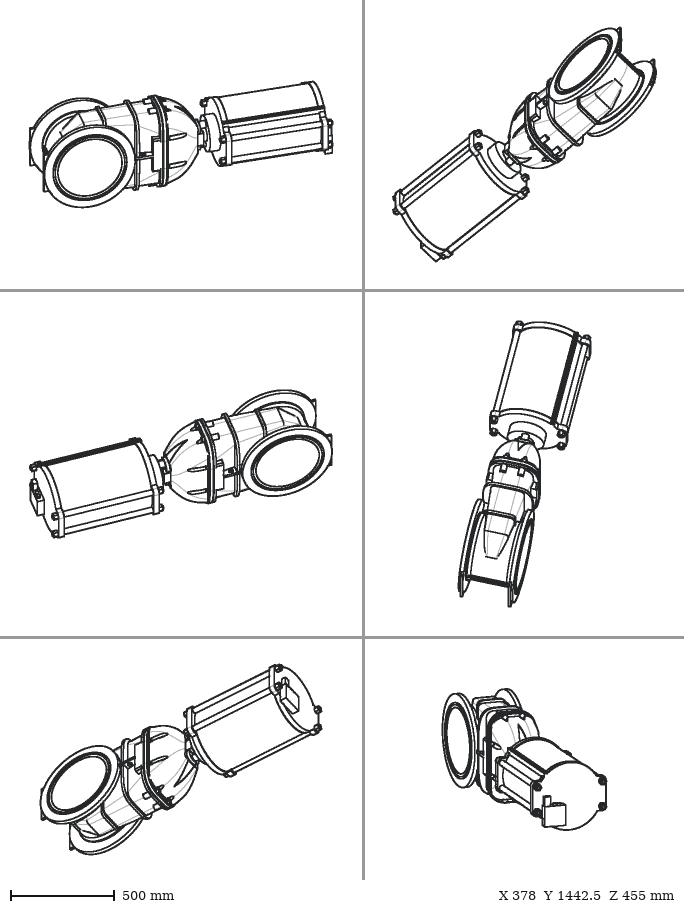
import cadquery as cq


FLANGE_RADIUS = 227.5
FLANGE_INNER_X = 113.0
FLANGE_OUTER_X = 134.0
RAISED_FACE_RADIUS = 185.0
RAISED_FACE_X = 138.0
FACE_STEP_RADIUS = 175.0
BORE_RADIUS = 161.0
FACE_STEP_DEPTH = 1.5
PIPE_RADIUS = 160.0
PIPE_COLLAR_RADIUS = 168.0
PIPE_COLLAR_START_X = 106.0
PIPE_TAPER_START_X = 89.0
FOOT_HALF_WIDTH = 105.0
FOOT_INNER_X = 114.0
FOOT_OUTER_X = 125.0

BODY_HALF_HEIGHT = 203.0
BODY_TOP_FLAT = 41.0
BODY_THROAT_Y = -7.0
BODY_TOE_Y = -104.0
BODY_TOE_HALF_HEIGHT = 122.0
BODY_TOE_HALF_X = 34.0
BODY_TOE_FLATS = (22.0, 112.0)
BODY_SHOULDER = (100.0, 110.0)
BODY_WAIST = (83.0, 172.0)
BODY_THROAT = (59.0, 187.0)
CENTRE_RIB_THICKNESS = 13.0
CENTRE_RIB_HALF_X = 125.0
UPPER_EYE = (104.0, 277.0)
LOWER_EYE = (95.0, 189.0)
EYE_DIAMETER = 22.0
BAND_THICKNESS = 13.0
BAND_HALF_HEIGHT = 216.0
UPPER_BAND_Y = 239.0
UPPER_BAND_HALF_X = 123.0
UPPER_BAND_SIDE_FLAT = 85.0
LOWER_BAND_Y = 86.0
LOWER_BAND_HALF_X = 73.0
LOWER_BAND_SIDE_FLAT = 180.0

JOINT_BOTTOM_Y = 358.0
JOINT_SPLIT_Y = 373.0
JOINT_TOP_Y = 390.0
JOINT_HALF_X = 125.0
JOINT_HALF_HEIGHT = 223.0
JOINT_FLATS = (30.0, 78.0)
JOINT_GROOVE = 3.0
JOINT_RIM_TOP_Y = 397.0
JOINT_RIM_INSET = 4.0
BOLT_BOSS_RADIUS = 14.0
BOLT_BOSS_BOTTOM_Y = 321.0
BOLT_BOSS_TOP_Y = 406.0
END_BOLT_X = 44.0
END_BOLT_Z = 206.0
SIDE_PAD_HALF_HEIGHT = 93.0
SIDE_PAD_INNER_X = 90.0
SIDE_PAD_CHAMFER = 8.0
SIDE_BOLT_X = 110.0
SIDE_BOLT_Z = 81.0
SIDE_BOLT_RADIUS = 9.0
BOLT_CLEARANCE_RADIUS = 11.0

DOME_TOP_FLAT = 43.0
DOME_SIZES = [
    (JOINT_TOP_Y, 113.0, 207.0, 145.0),
    (440.0, 111.0, 192.0, 124.0),
    (492.0, 100.0, 165.0, 85.0),
    (530.0, 78.0, 128.0, 45.0),
    (565.0, 50.0, 78.0, 20.0),
]
DOME_TOP_Y = DOME_SIZES[-1][0]
GUSSET_TIP_Y = 465.0
GUSSET_HALF_X = 25.0
GUSSET_RISE = 3.0

STEM_RADIUS = 38.0
HUB_HALF_X = 47.0
HUB_HALF_Z = 34.0
HUB_TOP_Y = 597.0
YOKE_PLATE_TOP_Y = 582.0
YOKE_PLATE_HALF_X = 40.0
YOKE_PLATE_HALF_Z = 76.0
YOKE_PLATE_CORNER = 30.0
POST_RADIUS = 18.0
POST_Z = 54.0

COLLAR_RADIUS = 90.0
COLLAR_BOTTOM_Y = 616.0
CAP_BOTTOM_Y = 668.5
CAP_TOP_Y = 1180.0
CAP_THICKNESS = 28.0
CAP_RADIUS = 168.0
CAP_LUG_HALF_X = 189.0
CAP_LUG_HALF_Z = 86.0
CAP_LUG_CORNER = 22.0
BARREL_RADIUS = 163.5
TIE_ROD_X = 167.0
TIE_ROD_Z = 62.5
TIE_ROD_RADIUS = 14.0
ROD_END_RADIUS = 8.0
NUT_WIDTH_ACROSS_CORNERS = 34.0
NUT_HEIGHT = 21.0
NUT_SIDES = 6
ROD_END_HEIGHT = 26.0
RAIL_X = (110.0, 129.0)
RAIL_TOP_Z = 128.0
RAIL_BOTTOM_Z = 90.0
RAIL_GROOVES = 4
RAIL_GROOVE_WIDTH = 2.0
RAIL_GROOVE_DEPTH = 5.0

CONTROL_X = (32.0, 138.0)
CONTROL_TOP_Y = 1215.0
CONTROL_BASE_Z = (-133.0, -32.0)
CONTROL_HEAD_Y = (1189.0, 1211.0)
CONTROL_HEAD_TOP_Z = 15.0
CONTROL_HEAD_X = (107.0, 137.0)
CONTROL_PORTS_X = (61.0, 82.0)
CONTROL_PORT_RADIUS = 9.0


def box(x_range, y_range, z_range):
    """Box between the given limits."""
    size = [high - low for low, high in (x_range, y_range, z_range)]
    corner = (x_range[0], y_range[0], z_range[0])
    return cq.Workplane("XY").box(*size, centered=False).translate(corner)


def rod_x(radius, x_start, x_end):
    """Cylinder along X about the pipe axis."""
    return cq.Workplane("YZ").workplane(offset=x_start).circle(radius).extrude(x_end - x_start)


def plane_y(y):
    """Work plane facing +Y whose local axes are X and -Z."""
    return cq.Workplane(cq.Plane(origin=(0, y, 0), xDir=(1, 0, 0), normal=(0, 1, 0)))


def rod_y(radius, y_start, y_end, x=0.0, z=0.0):
    """Cylinder along Y centred on the given x and z."""
    return plane_y(y_start).center(x, -z).circle(radius).extrude(y_end - y_start)


def rounded_plate(half_x, half_z, corner, y_start, y_end):
    """Flat plate across Y with a rounded rectangular outline."""
    plate = plane_y(y_start).rect(2 * half_x, 2 * half_z).extrude(y_end - y_start)
    return plate.edges("|Y").fillet(corner)


def section(y, half_x, half_z, flat_x, flat_z):
    """Outline across Y: four flats of the given half lengths joined by oval corners."""
    along_x, along_z = (1, 0), (0, 1)
    back_x, back_z = (-1, 0), (0, -1)
    outline = plane_y(y).moveTo(half_x, -flat_z).lineTo(half_x, flat_z)
    outline = outline.spline([(flat_x, half_z)], [along_z, back_x], includeCurrent=True)
    outline = outline.lineTo(-flat_x, half_z)
    outline = outline.spline([(-half_x, flat_z)], [back_x, back_z], includeCurrent=True)
    outline = outline.lineTo(-half_x, -flat_z)
    outline = outline.spline([(-flat_x, -half_z)], [back_z, along_x], includeCurrent=True)
    outline = outline.lineTo(flat_x, -half_z)
    outline = outline.spline([(half_x, -flat_z)], [along_x, along_z], includeCurrent=True)
    return outline.wire()


def oval_corner_plate(half_x, half_z, flat_x, flat_z, y_start, y_end):
    """Flat plate across Y with oval corners."""
    return section(y_start, half_x, half_z, flat_x, flat_z).extrude(y_end - y_start)


def loft_sections(sections, ruled):
    """Solid through oval-cornered sections stacked along Y."""
    wires = [section(*sizes).val() for sizes in sections]
    return cq.Workplane(cq.Solid.makeLoft(wires, ruled))


def mirror_x(solid):
    """The solid together with its mirror image across X = 0."""
    return solid.union(solid.mirror("YZ"))


def four_places(x, z):
    """The point (x, z) and its mirror images in X and Z."""
    return [(side * x, end * z) for side in (-1, 1) for end in (-1, 1)]


def make_pipe():
    outline = [
        (0, 0),
        (RAISED_FACE_X, 0),
        (RAISED_FACE_X, RAISED_FACE_RADIUS),
        (FLANGE_OUTER_X, RAISED_FACE_RADIUS),
        (FLANGE_OUTER_X, FLANGE_RADIUS),
        (FLANGE_INNER_X, FLANGE_RADIUS),
        (FLANGE_INNER_X, PIPE_COLLAR_RADIUS),
        (PIPE_COLLAR_START_X, PIPE_COLLAR_RADIUS),
        (PIPE_TAPER_START_X, PIPE_RADIUS),
        (0, PIPE_RADIUS),
    ]
    half = cq.Workplane("XY").polyline(outline).close().revolve(360, (0, 0, 0), (1, 0, 0))
    for depth, radius in ((FACE_STEP_DEPTH, FACE_STEP_RADIUS), (2 * FACE_STEP_DEPTH, BORE_RADIUS)):
        half = half.cut(rod_x(radius, RAISED_FACE_X - depth, RAISED_FACE_X))
    foot = box(
        (FOOT_INNER_X, FOOT_OUTER_X), (-FLANGE_RADIUS, 0), (-FOOT_HALF_WIDTH, FOOT_HALF_WIDTH)
    )
    bottom_rib = box(
        (0, FLANGE_INNER_X),
        (-PIPE_COLLAR_RADIUS, 0),
        (-CENTRE_RIB_THICKNESS / 2, CENTRE_RIB_THICKNESS / 2),
    )
    return mirror_x(half.union(foot).union(bottom_rib))


def make_body():
    levels = (
        (JOINT_BOTTOM_Y, BODY_SHOULDER), (UPPER_BAND_Y, BODY_WAIST), (BODY_THROAT_Y, BODY_THROAT)
    )
    sections = [
        (y, half_x, BODY_HALF_HEIGHT, BODY_TOP_FLAT, side_flat) for y, (half_x, side_flat) in levels
    ]
    sections.append((BODY_TOE_Y, BODY_TOE_HALF_X, BODY_TOE_HALF_HEIGHT, *BODY_TOE_FLATS))
    body = loft_sections(sections, True)
    bands = (
        (UPPER_BAND_Y, UPPER_BAND_HALF_X, UPPER_BAND_SIDE_FLAT),
        (LOWER_BAND_Y, LOWER_BAND_HALF_X, LOWER_BAND_SIDE_FLAT),
    )
    for y, half_x, side_flat in bands:
        band = oval_corner_plate(
            half_x, BAND_HALF_HEIGHT, BODY_TOP_FLAT, side_flat, y, y + BAND_THICKNESS
        )
        body = body.union(band)
    rib = box(
        (-CENTRE_RIB_HALF_X, CENTRE_RIB_HALF_X),
        (0, JOINT_BOTTOM_Y),
        (-CENTRE_RIB_THICKNESS / 2, CENTRE_RIB_THICKNESS / 2),
    )
    eyes = [(side * x, y) for x, y in (UPPER_EYE, LOWER_EYE) for side in (-1, 1)]
    drill = cq.Workplane("XY").pushPoints(eyes).circle(EYE_DIAMETER / 2)
    rib = rib.cut(drill.extrude(CENTRE_RIB_THICKNESS, both=True))
    return body.union(rib)


def make_joint():
    layers = (
        (JOINT_GROOVE, JOINT_SPLIT_Y - JOINT_GROOVE, JOINT_SPLIT_Y),
        (0, JOINT_SPLIT_Y, JOINT_TOP_Y),
        (JOINT_RIM_INSET, JOINT_TOP_Y, JOINT_RIM_TOP_Y),
    )
    joint = oval_corner_plate(
        JOINT_HALF_X, JOINT_HALF_HEIGHT, *JOINT_FLATS, JOINT_BOTTOM_Y, JOINT_SPLIT_Y - JOINT_GROOVE
    )
    for inset, y_start, y_end in layers:
        half_x, half_z = JOINT_HALF_X - inset, JOINT_HALF_HEIGHT - inset
        joint = joint.union(oval_corner_plate(half_x, half_z, *JOINT_FLATS, y_start, y_end))
    for x, z in four_places(END_BOLT_X, END_BOLT_Z):
        joint = joint.union(rod_y(BOLT_BOSS_RADIUS, BOLT_BOSS_BOTTOM_Y, BOLT_BOSS_TOP_Y, x, z))
    for x, z in four_places(SIDE_BOLT_X, SIDE_BOLT_Z):
        joint = joint.union(rod_y(SIDE_BOLT_RADIUS, JOINT_TOP_Y, BOLT_BOSS_TOP_Y, x, z))
    pad = box(
        (SIDE_PAD_INNER_X, JOINT_HALF_X),
        (BOLT_BOSS_BOTTOM_Y, JOINT_BOTTOM_Y),
        (-SIDE_PAD_HALF_HEIGHT, SIDE_PAD_HALF_HEIGHT),
    )
    pad = pad.edges(">X and |Y").chamfer(SIDE_PAD_CHAMFER)
    return joint.union(mirror_x(pad))


def dome_solid(rise):
    """Rounded dome, raised along Z by the given amount."""
    sections = [
        (y, half_x, half_z + rise, DOME_TOP_FLAT, side_flat)
        for y, half_x, half_z, side_flat in DOME_SIZES
    ]
    return loft_sections(sections, False)


def make_dome():
    dome = dome_solid(0)
    bolts = four_places(END_BOLT_X, END_BOLT_Z) + four_places(SIDE_BOLT_X, SIDE_BOLT_Z)
    for x, z in bolts:
        dome = dome.cut(rod_y(BOLT_CLEARANCE_RADIUS, JOINT_TOP_Y, DOME_TOP_Y, x, z))
    wedge_outline = [(-GUSSET_HALF_X, DOME_TOP_Y), (GUSSET_HALF_X, DOME_TOP_Y), (0, GUSSET_TIP_Y)]
    wedge = cq.Workplane("XY").polyline(wedge_outline).close().extrude(JOINT_HALF_HEIGHT, both=True)
    return dome.union(wedge.intersect(dome_solid(GUSSET_RISE)))


def make_yoke():
    stem = rod_y(STEM_RADIUS, DOME_TOP_Y - STEM_RADIUS, COLLAR_BOTTOM_Y)
    hub = box(
        (-HUB_HALF_X, HUB_HALF_X), (DOME_TOP_Y - STEM_RADIUS, HUB_TOP_Y), (-HUB_HALF_Z, HUB_HALF_Z)
    )
    plate = rounded_plate(
        YOKE_PLATE_HALF_X, YOKE_PLATE_HALF_Z, YOKE_PLATE_CORNER, DOME_TOP_Y, YOKE_PLATE_TOP_Y
    )
    yoke = stem.union(hub).union(plate)
    for end in (-1, 1):
        yoke = yoke.union(rod_y(POST_RADIUS, DOME_TOP_Y, COLLAR_BOTTOM_Y, z=end * POST_Z))
    return yoke


def make_cap(y_start):
    y_end = y_start + CAP_THICKNESS
    lugs = rounded_plate(CAP_LUG_HALF_X, CAP_LUG_HALF_Z, CAP_LUG_CORNER, y_start, y_end)
    return lugs.union(rod_y(CAP_RADIUS, y_start, y_end))


def make_rail():
    rail = box(RAIL_X, (CAP_BOTTOM_Y, CAP_TOP_Y), (RAIL_BOTTOM_Z, RAIL_TOP_Z))
    pitch = (RAIL_X[1] - RAIL_X[0]) / (RAIL_GROOVES + 1)
    for index in range(RAIL_GROOVES):
        groove_x = RAIL_X[0] + (index + 1) * pitch
        groove = box(
            (groove_x - RAIL_GROOVE_WIDTH / 2, groove_x + RAIL_GROOVE_WIDTH / 2),
            (CAP_BOTTOM_Y, CAP_TOP_Y),
            (RAIL_TOP_Z - RAIL_GROOVE_DEPTH, RAIL_TOP_Z),
        )
        rail = rail.cut(groove)
    return rail


def make_cylinder():
    cylinder = rod_y(COLLAR_RADIUS, COLLAR_BOTTOM_Y, CAP_BOTTOM_Y)
    cylinder = cylinder.union(rod_y(BARREL_RADIUS, CAP_BOTTOM_Y, CAP_TOP_Y))
    cylinder = cylinder.union(make_rail())
    for y_start in (CAP_BOTTOM_Y, CAP_TOP_Y - CAP_THICKNESS):
        cylinder = cylinder.union(make_cap(y_start))
    rod_bottom_y = CAP_BOTTOM_Y - ROD_END_HEIGHT
    rod_top_y = CAP_TOP_Y + ROD_END_HEIGHT
    for x, z in four_places(TIE_ROD_X, TIE_ROD_Z):
        cylinder = cylinder.union(rod_y(TIE_ROD_RADIUS, CAP_BOTTOM_Y, CAP_TOP_Y, x, z))
        cylinder = cylinder.union(rod_y(ROD_END_RADIUS, rod_bottom_y, rod_top_y, x, z))
        for nut_y in (CAP_BOTTOM_Y - NUT_HEIGHT, CAP_TOP_Y):
            nut = plane_y(nut_y).center(x, -z).polygon(NUT_SIDES, NUT_WIDTH_ACROSS_CORNERS)
            cylinder = cylinder.union(nut.extrude(NUT_HEIGHT))
    return cylinder


def make_control_valve():
    base = box(CONTROL_X, (CAP_TOP_Y, CONTROL_TOP_Y), CONTROL_BASE_Z)
    base_top = CONTROL_BASE_Z[1]
    head = box(CONTROL_HEAD_X, CONTROL_HEAD_Y, (base_top, CONTROL_HEAD_TOP_Z))
    control = base.union(head)
    port_y = sum(CONTROL_HEAD_Y) / 2
    ports = cq.Workplane("XY").workplane(offset=base_top)
    ports = ports.pushPoints([(x, port_y) for x in CONTROL_PORTS_X]).circle(CONTROL_PORT_RADIUS)
    return control.union(ports.extrude(CONTROL_PORT_RADIUS))


result = (
    make_pipe()
    .union(make_body())
    .union(make_joint())
    .union(make_dome())
    .union(make_yoke())
    .union(make_cylinder())
    .union(make_control_valve())
)